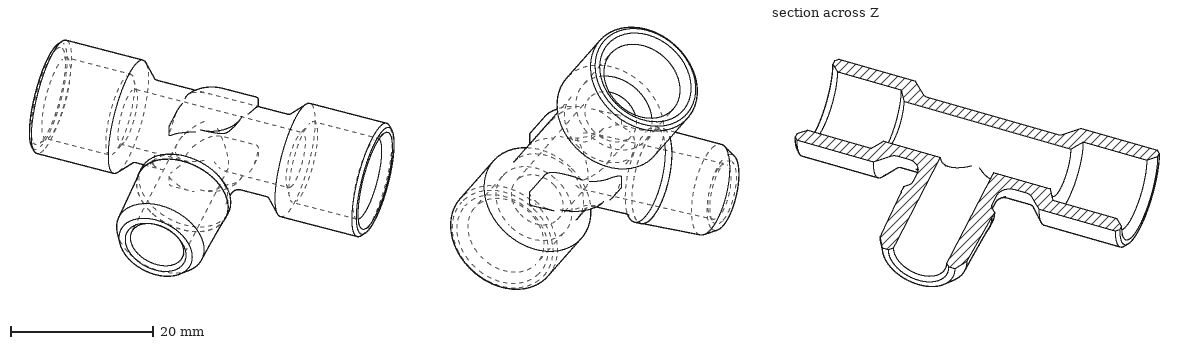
import cadquery as cq
import math

run_length = 49.0
overall_depth = 31.25
head_diameter = 16.5
body_diameter = 12.0
bore_diameter = 8.0
crotch_radius = 1.95
neck_radius = 1.0

head_length = 12.0
head_edge_chamfer = 0.5
socket_mouth_diameter = 14.1
socket_diameter = 11.75
socket_depth = 10.8
socket_drill_angle = 118.0

tip_diameter = 11.0
tip_chamfer_length = 1.9
thread_start_diameter = 13.15
thread_end_diameter = 13.65
thread_end = 11.0
collar_diameter = 13.75
collar_end = 12.0
branch_mouth_diameter = 9.1

pad_near = 4.55
pad_far = 5.5
pad_depth = 2.45
pad_edge_radius = 0.5

selection_margin = 0.05

half_run = run_length / 2
head_radius = head_diameter / 2
body_radius = body_diameter / 2
bore_radius = bore_diameter / 2
branch_length = overall_depth - head_radius


def revolve_about_x(points):
    """Revolve a closed (x, radius) outline about the run axis."""
    return cq.Workplane("XY").polyline(points).close().revolve(360, (0, 0), (1, 0))


def revolve_about_y(points):
    """Revolve a closed (radius, y) outline about the branch axis."""
    return cq.Workplane("XY").polyline(points).close().revolve(360, (0, 0), (0, 1))


def head():
    """Female head at the -X end, with a 45 degree shoulder down to the body."""
    start = -half_run
    shoulder = start + head_length
    neck = shoulder + head_radius - body_radius
    return revolve_about_x([
        (start, 0),
        (start, head_radius - head_edge_chamfer),
        (start + head_edge_chamfer, head_radius),
        (shoulder, head_radius),
        (neck, body_radius),
        (0, body_radius),
        (0, 0),
    ])


def branch():
    """Tapered male branch pointing along -Y."""
    end = -branch_length
    collar_radius = collar_diameter / 2
    neck = end + collar_end + collar_radius - body_radius
    return revolve_about_y([
        (0, end),
        (tip_diameter / 2, end),
        (thread_start_diameter / 2, end + tip_chamfer_length),
        (thread_end_diameter / 2, end + thread_end),
        (collar_radius, end + thread_end),
        (collar_radius, end + collar_end),
        (body_radius, neck),
        (body_radius, 0),
        (0, 0),
    ])


def pad():
    """Upper pad, flush with the crest of the body and rounded on its straight and outer arc edges."""
    arc_mid = pad_near * math.sqrt(0.5)
    block = (
        cq.Workplane("XY", origin=(0, 0, body_radius))
        .moveTo(-pad_near, 0)
        .threePointArc((-arc_mid, arc_mid), (0, pad_near))
        .lineTo(pad_far, pad_near)
        .lineTo(pad_far, 0)
        .lineTo(pad_near, 0)
        .threePointArc((arc_mid, -arc_mid), (0, -pad_near))
        .lineTo(0, -pad_far)
        .lineTo(-pad_near, -pad_far)
        .close()
        .extrude(-pad_depth)
    )
    for corner in ((pad_far, pad_near), (-pad_near, -pad_far)):
        edge_middle = (*corner, body_radius - pad_depth / 2)
        block = block.edges(cq.selectors.NearestToPointSelector(edge_middle)).fillet(pad_edge_radius)
    outer_arc_middle = (-arc_mid, arc_mid, body_radius)
    return block.edges(cq.selectors.NearestToPointSelector(outer_arc_middle)).fillet(pad_edge_radius)


def socket():
    """Threaded socket in the -X head: mouth countersink, bore and drill cone."""
    start = -half_run
    mouth_radius = socket_mouth_diameter / 2
    radius = socket_diameter / 2
    bottom = start + socket_depth
    cone_length = (radius - bore_radius) / math.tan(math.radians(socket_drill_angle / 2))
    return revolve_about_x([
        (start, 0),
        (start, mouth_radius),
        (start + mouth_radius - radius, radius),
        (bottom, radius),
        (bottom + cone_length, bore_radius),
        (0, bore_radius),
        (0, 0),
    ])


def branch_bore():
    """Branch bore with a 45 degree countersink at its mouth."""
    end = -branch_length
    mouth_radius = branch_mouth_diameter / 2
    return revolve_about_y([
        (0, end),
        (mouth_radius, end),
        (bore_radius, end + mouth_radius - bore_radius),
        (bore_radius, 0),
        (0, 0),
    ])


def edges_at(position, axis):
    """Select the circular edges lying in a plane across the given axis (0 for X, 1 for Y)."""
    low = [-head_radius] * 3
    high = [head_radius] * 3
    low[axis] = position - selection_margin
    high[axis] = position + selection_margin
    return cq.selectors.BoxSelector(tuple(low), tuple(high), boundingbox=True)


def crotch_seams():
    """Select the curved seams where the branch meets the run, on the branch side of the axis."""
    reach = body_radius + selection_margin
    return cq.selectors.BoxSelector(
        (-reach, -reach, -reach), (reach, selection_margin, reach), boundingbox=True
    )


run_neck = half_run - head_length - (head_radius - body_radius)
branch_neck = -branch_length + collar_end + collar_diameter / 2 - body_radius
run = head().union(head().mirror("YZ")).clean()
for neck_x in (-run_neck, run_neck):
    run = run.edges(edges_at(neck_x, 0)).fillet(neck_radius)
male = branch().edges(edges_at(branch_neck, 1)).fillet(neck_radius)
tee = run.union(male)
tee = tee.edges(crotch_seams()).edges("not %LINE").fillet(crotch_radius)

tee = tee.union(pad()).union(pad().mirror("XY"))

result = tee.cut(socket()).cut(socket().mirror("YZ")).cut(branch_bore())